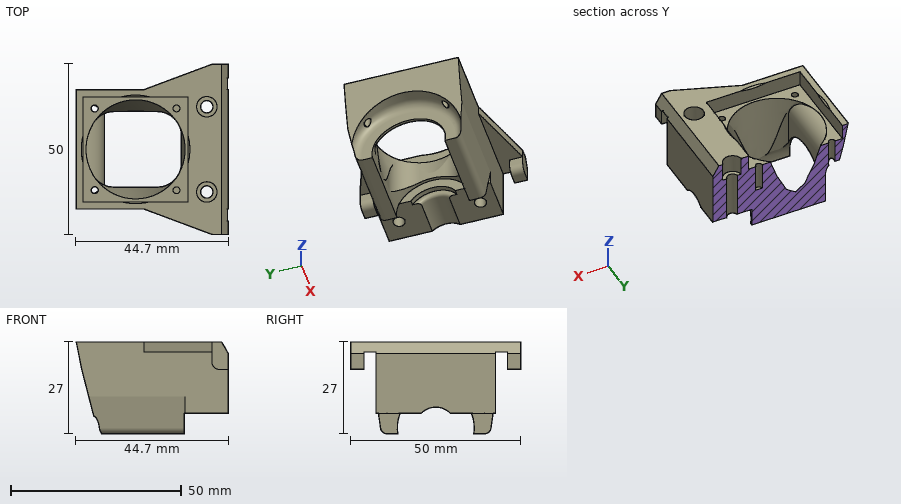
import cadquery as cq
import math

length = 44.7
height = 27.0
body_width = 35.1
rear_bottom = -21.0

kink_x = 1.6
kink_z = -8.0
front_foot_x = 6.5

leg_end_x = 31.75
relief_end_x = 31.95
taper_top = -16.15
leg_foot_width = 32.0
leg_fillet = 2.0

wing_span = 50.0
wing_thickness = 3.0
wing_root_x = 19.9
clip_x = 39.85
clip_width = 4.0
clip_drop = 8.1
clip_fillet = 2.2
chamfer_x = 2.0
chamfer_z = 3.4

fan_x = 17.45
seat_side = 30.8
seat_depth = 5.0
fan_hole_pitch = 24.0
fan_hole_diameter = 2.0
fan_hole_depth = 9.0

mouth_radius = 15.95
mouth_depth = 0.5
duct_radius = 14.55
duct_foot_radius = 10.7
throat_length = 26.8
throat_width = 22.1
throat_corner = 7.0
lip_x = 8.35
lip_radius = 5.7

arch_z = -25.2
bore_radius = 11.25
recess_x = 7.5
recess_radius = 17.1
recess_fillet = 2.65

step_radius = 8.0
step_depth = 1.5
rear_hole_radius = 6.0
rear_hole_round = 1.0

screw_x = 38.35
screw_pitch = 25.0
screw_diameter = 3.55
head_diameter = 6.0
head_depth = 6.0


def extrude_across(profile, width):
    """Extrude an XZ profile symmetrically about Y = 0."""
    return profile.extrude(width / 2, both=True)


def rod(radius, x_start, x_end):
    """Cylinder on the arch axis between two X positions."""
    plane = cq.Workplane("YZ", origin=(x_start, 0, arch_z))
    return plane.circle(radius).extrude(x_end - x_start)


def open_down(shape, radius, x_start, x_end):
    """Extend a rod straight down past the bottom of the part."""
    slot = cq.Workplane("XY").box(
        x_end - x_start, 2 * radius, height, centered=(False, True, False)
    )
    return shape.union(slot.translate((x_start, 0, arch_z - height)))


def make_body():
    side_view = (
        cq.Workplane("XZ")
        .polyline([
            (0, 0), (length, 0), (length, rear_bottom), (leg_end_x, rear_bottom),
            (leg_end_x, -height), (front_foot_x, -height), (kink_x, kink_z),
        ])
        .close()
    )
    return extrude_across(side_view, body_width)


def make_leg_envelope():
    """Tapered cross-section with rounded feet that bounds the body ahead of the relief."""
    half_top = body_width / 2
    half_foot = leg_foot_width / 2
    return (
        cq.Workplane("YZ")
        .polyline([
            (-half_top, 0), (half_top, 0), (half_top, taper_top),
            (half_foot, -height), (-half_foot, -height), (-half_top, taper_top),
        ])
        .close()
        .extrude(relief_end_x)
        .edges("|X and <Z")
        .fillet(leg_fillet)
    )


def make_wings():
    half_root = body_width / 2
    half_span = wing_span / 2
    return (
        cq.Workplane("XY")
        .polyline([
            (wing_root_x, -half_root), (clip_x, -half_span), (length, -half_span),
            (length, half_span), (clip_x, half_span), (wing_root_x, half_root),
        ])
        .close()
        .extrude(-wing_thickness)
    )


def make_clip(side):
    clip = (
        cq.Workplane("XY")
        .box(length - clip_x, clip_width, clip_drop, centered=(False, True, False))
        .edges("|Y and <X and <Z")
        .fillet(clip_fillet)
    )
    return clip.translate((clip_x, side * (wing_span - clip_width) / 2, -clip_drop))


def make_rear_chamfer():
    corner = (
        cq.Workplane("XZ")
        .polyline([(length - chamfer_x, 0), (length, 0), (length, -chamfer_z)])
        .close()
    )
    return extrude_across(corner, wing_span)


def make_fan_seat():
    seat = cq.Workplane("XY").center(fan_x, 0).rect(seat_side, seat_side).extrude(-seat_depth)
    holes = (
        cq.Workplane("XY", origin=(fan_x, 0, -seat_depth))
        .rect(fan_hole_pitch, fan_hole_pitch, forConstruction=True)
        .vertices()
        .circle(fan_hole_diameter / 2)
        .extrude(-fan_hole_depth)
    )
    return seat.union(holes)


def make_duct():
    """Tapering round duct joined to a straight throat, stopped at the rounded front lip."""
    funnel = (
        cq.Workplane("XZ")
        .polyline([
            (0, 0), (mouth_radius, 0), (seat_side / 2, -mouth_depth),
            (duct_radius, -seat_depth), (duct_foot_radius, -height), (0, -height),
        ])
        .close()
        .revolve(360, (0, 0, 0), (0, 1, 0))
    )
    throat = (
        cq.Workplane("XY", origin=(0, 0, -seat_depth))
        .rect(throat_length, throat_width)
        .extrude(seat_depth - height)
        .edges("|Z")
        .fillet(throat_corner)
    )
    lip_center_x = lip_x - lip_radius
    lip_center_z = -seat_depth - lip_radius
    lip_diagonal = lip_radius * math.sqrt(0.5)
    front_wall = (
        cq.Workplane("XZ")
        .moveTo(0, -seat_depth)
        .lineTo(lip_center_x, -seat_depth)
        .threePointArc(
            (lip_center_x + lip_diagonal, lip_center_z + lip_diagonal),
            (lip_x, lip_center_z),
        )
        .lineTo(lip_x, -height)
        .lineTo(0, -height)
        .close()
    )
    duct = funnel.union(throat).translate((fan_x, 0, 0))
    return duct.cut(extrude_across(front_wall, body_width))


def make_arch():
    """Bore through the legs and the wider recess with a rounded inner corner at the front."""
    bore = rod(bore_radius, 0, leg_end_x)
    recess = open_down(rod(recess_radius, 0, recess_x), recess_radius, 0, recess_x)
    recess = recess.faces(">X").edges().fillet(recess_fillet)
    return bore.union(recess)


def make_rear_opening():
    step_end_x = leg_end_x + step_depth
    step = rod(step_radius, leg_end_x, step_end_x)
    hole_edge = rear_hole_radius + rear_hole_round
    round_diagonal = rear_hole_round * math.sqrt(0.5)
    flared_hole = (
        cq.Workplane("XZ")
        .moveTo(step_end_x, 0)
        .lineTo(step_end_x, hole_edge)
        .threePointArc(
            (step_end_x + rear_hole_round - round_diagonal, hole_edge - round_diagonal),
            (step_end_x + rear_hole_round, rear_hole_radius),
        )
        .lineTo(length, rear_hole_radius)
        .lineTo(length, 0)
        .close()
        .revolve(360, (0, 0, 0), (1, 0, 0))
        .translate((0, 0, arch_z))
    )
    return step.union(flared_hole)


def make_screw_holes():
    spots = [(screw_x, -screw_pitch / 2), (screw_x, screw_pitch / 2)]
    shanks = cq.Workplane("XY").pushPoints(spots).circle(screw_diameter / 2).extrude(-height)
    heads = cq.Workplane("XY").pushPoints(spots).circle(head_diameter / 2).extrude(-head_depth)
    return shanks.union(heads)


body = make_body()
rear_block = cq.Workplane("XY").box(
    length - relief_end_x, body_width, height, centered=(False, True, False)
).translate((relief_end_x, 0, -height))
result = body.intersect(make_leg_envelope().union(rear_block))
result = result.union(make_wings())
for side in (-1, 1):
    result = result.union(make_clip(side))
result = result.cut(make_rear_chamfer())
for cavity in (make_fan_seat(), make_duct(), make_arch(), make_rear_opening(), make_screw_holes()):
    result = result.cut(cavity)